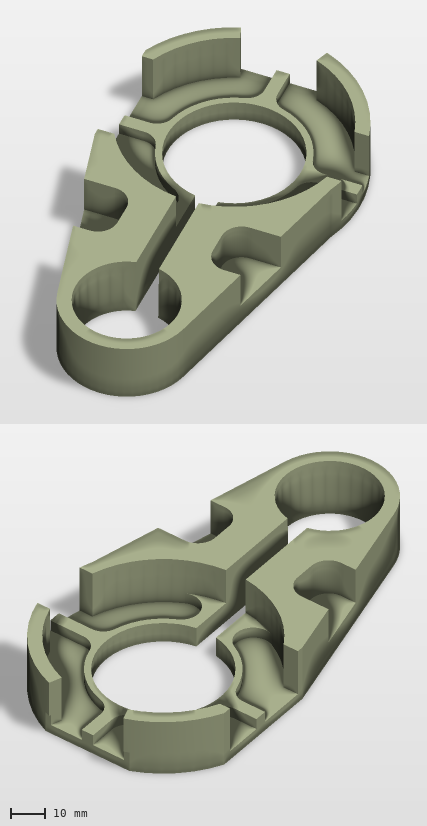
import cadquery as cq
import math

height = 19.0
head_radius = 38.9
tail_radius = 20.1
tail_y = -79.0
arm_offset = 38.5
left_flat_x = -34.9
back_flat_y = 36.0
slot_width = 7.0

hub_top_z = 6.8
pocket_floor_z = 3.1
head_bore_radius = 20.6
hub_radius = 22.7
wall_inner_radius = 34.6
rib_width = 4.1
rib_fillet = 5.4
back_gap_half_angle = 20.0
right_gap_y = (-10.2, 9.8)
left_gap_y = (-17.6, 14.7)
web_half_angle = 26.8

tail_bore_top_radius = 15.7
tail_bore_bottom_radius = 15.2

notch_y = (-56.8, -38.0)
notch_inner_x = 14.8
notch_corner_radius = 6.1

reach = 2 * head_radius


def cylinder(radius, z0, z1, x=0, y=0):
    return cq.Workplane("XY", origin=(x, y, z0)).circle(radius).extrude(z1 - z0)


def block(x0, x1, y0, y1, z0, z1):
    return cq.Workplane("XY").box(x1 - x0, y1 - y0, z1 - z0, centered=False).translate((x0, y0, z0))


def wedge(half_angle, direction, z0, z1):
    """Triangular sector from the origin, symmetric about the Y axis."""
    half_width = reach * math.tan(math.radians(half_angle))
    tip_y = direction * reach
    outline = [(0, 0), (half_width, tip_y), (-half_width, tip_y)]
    return cq.Workplane("XY", origin=(0, 0, z0)).polyline(outline).close().extrude(z1 - z0)


def make_body():
    """Head disc joined to a tapered arm whose sides are tangent to the tail disc."""
    taper = math.asin((arm_offset - tail_radius) / -tail_y)
    crossing = -taper - math.acos(arm_offset / head_radius)
    head_x = head_radius * math.cos(crossing)
    head_y = head_radius * math.sin(crossing)
    tail_x = tail_radius * math.cos(taper)
    tail_tangent_y = tail_y - tail_radius * math.sin(taper)
    body = (
        cq.Workplane("XY")
        .moveTo(head_x, head_y)
        .threePointArc((0, head_radius), (-head_x, head_y))
        .lineTo(-tail_x, tail_tangent_y)
        .threePointArc((0, tail_y - tail_radius), (tail_x, tail_tangent_y))
        .close()
        .extrude(height)
    )
    body = body.cut(block(-reach, left_flat_x, -reach, reach, 0, height))
    return body.cut(block(-reach, reach, back_flat_y, reach, 0, hub_top_z))


def make_opening(z0, z1):
    """Space inside the wall together with its back, right and left gaps."""
    return (
        cylinder(wall_inner_radius, z0, z1)
        .union(wedge(back_gap_half_angle, 1, z0, z1))
        .union(block(0, reach, *right_gap_y, z0, z1))
        .union(block(-reach, 0, *left_gap_y, z0, z1))
    )


def make_hub():
    """Ring with three filleted ribs and the webs on both sides of the slot."""
    z0, z1 = pocket_floor_z, hub_top_z
    half_rib = rib_width / 2
    hub = (
        cylinder(hub_radius, z0, z1)
        .union(block(-reach, reach, -half_rib, half_rib, z0, z1))
        .union(block(-half_rib, half_rib, 0, reach, z0, z1))
    )
    root = math.sqrt(hub_radius**2 - half_rib**2)
    root_points = [(sx * root, sy * half_rib) for sx in (-1, 1) for sy in (-1, 1)]
    root_points += [(sx * half_rib, root) for sx in (-1, 1)]
    for x, y in root_points:
        hub = hub.edges(cq.selectors.NearestToPointSelector((x, y, (z0 + z1) / 2))).fillet(rib_fillet)

    end_radius = (wall_inner_radius - hub_radius) / 2
    end_orbit = (wall_inner_radius + hub_radius) / 2
    end_x = end_orbit * math.sin(math.radians(web_half_angle))
    end_y = -end_orbit * math.cos(math.radians(web_half_angle))
    web = cylinder(wall_inner_radius, z0, z1).intersect(wedge(web_half_angle, -1, z0, z1))
    for side in (-1, 1):
        web = web.cut(cylinder(end_radius, z0, z1, side * end_x, end_y))
    return hub.union(web)


def make_notch(side):
    """Round-cornered notch from the arm's side, down to the hub level."""
    x0, x1 = sorted((side * notch_inner_x, side * reach))
    notch = block(x0, x1, *notch_y, hub_top_z, height)
    inner_edges = "|Z and <X" if side > 0 else "|Z and >X"
    return notch.edges(inner_edges).fillet(notch_corner_radius)


def make_tail_bore():
    return (
        cq.Workplane("XY", origin=(0, tail_y, 0))
        .circle(tail_bore_bottom_radius)
        .workplane(offset=height)
        .circle(tail_bore_top_radius)
        .loft(ruled=True)
    )


result = make_body()
result = result.cut(make_opening(hub_top_z, height))
result = result.cut(make_opening(pocket_floor_z, hub_top_z).cut(make_hub()))
result = result.cut(cylinder(head_bore_radius, 0, height))
result = result.cut(block(-slot_width / 2, slot_width / 2, tail_y, 0, 0, height))
result = result.cut(make_tail_bore())
for notch_side in (-1, 1):
    result = result.cut(make_notch(notch_side))